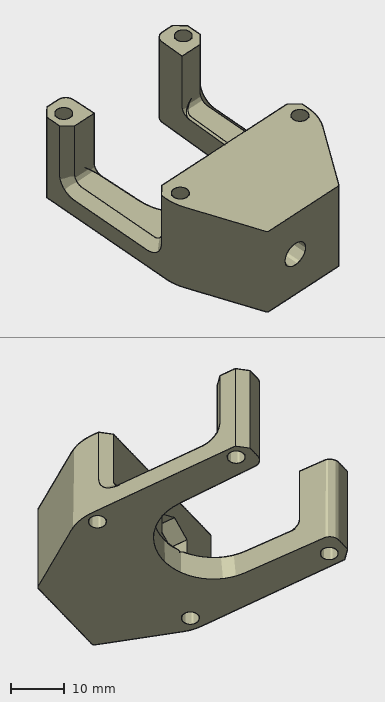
import cadquery as cq
import math

length = 53.5
height = 20.0
mid_height = height / 2
rear_y = 18.05
front_y = -18.45

screw_spacing = 31.0
screw_diameter = 3.3
first_screw_x = 3.5
opening_x = first_screw_x + screw_spacing / 2

opening_radius = 11.1
side_flare = math.radians(1.4)
side_start_x = opening_x + opening_radius * math.sin(side_flare)
side_start_y = opening_radius * math.cos(side_flare)
mouth_half_width = side_start_y + side_start_x * math.tan(side_flare)
rim_height = 5.55

post_face_x = 7.4
wall_x = 30.5
floor_z = 6.0
notch_radius = 2.0
edge_chamfer = 2.0
post_round = 2.0

nose_rear_y = 7.05
nose_front_y = -11.45
taper_rear_x = 37.2
taper_front_x = 35.85
taper_round = 10.15
nose_round = 0.55

bolt_y = -4.3
bolt_diameter = 5.3
nut_flats = 8.3
nut_start_x = 24.1
nut_depth = 7.5


def blank():
    """Prism with chamfered arm ends and a rounded, tapering nose."""
    points = [
        (0, front_y + edge_chamfer),
        (edge_chamfer, front_y),
        (taper_front_x, front_y),
        (length, nose_front_y),
        (length, nose_rear_y),
        (taper_rear_x, rear_y),
        (edge_chamfer, rear_y),
        (0, rear_y - edge_chamfer),
    ]
    prism = cq.Workplane("XY").polyline(points).close().extrude(height)
    for x, y in ((taper_front_x, front_y), (taper_rear_x, rear_y)):
        corner = cq.selectors.NearestToPointSelector((x, y, mid_height))
        prism = prism.edges(corner).fillet(taper_round)
    return prism.edges("|Z and >X").fillet(nose_round)


def opening_profile(z):
    """U outline whose sides flare slightly towards the open end."""
    return (
        cq.Workplane("XY", origin=(0, 0, z))
        .moveTo(0, -mouth_half_width)
        .lineTo(side_start_x, -side_start_y)
        .threePointArc((opening_x + opening_radius, 0), (side_start_x, side_start_y))
        .lineTo(0, mouth_half_width)
        .close()
    )


def notch_profile(y, growth):
    """Round-bottomed notch outline, enlarged by growth and open above the part."""
    left = post_face_x - growth
    right = wall_x + growth
    bottom = floor_z - growth
    top = 2 * height
    return (
        cq.Workplane("XZ", origin=(0, y, 0))
        .center((left + right) / 2, (bottom + top) / 2)
        .sketch()
        .rect(right - left, top - bottom)
        .vertices()
        .fillet(notch_radius + growth)
        .finalize()
    )


def notch():
    """Notch right across the part, with 45 degree chamfers at both outer faces."""
    tool = notch_profile(rear_y, 0).extrude(rear_y - front_y)
    rear_chamfer = notch_profile(rear_y, edge_chamfer).extrude(edge_chamfer, taper=45)
    front_chamfer = notch_profile(front_y, edge_chamfer).extrude(-edge_chamfer, taper=45)
    return tool.union(rear_chamfer).union(front_chamfer)


def rim_chamfer():
    """45 degree flare above the opening rim, from the rounded post feet to the wall."""
    flare = opening_profile(rim_height).extrude(floor_z + notch_radius - rim_height, taper=-45)
    limits = (
        cq.Workplane("XY", origin=(post_face_x, 0, rim_height))
        .box(wall_x - post_face_x, rear_y - front_y, height, centered=(False, True, False))
        .edges("|Y and <X and <Z")
        .fillet(notch_radius)
    )
    return flare.intersect(limits)


def screw_holes():
    return (
        cq.Workplane("XY", origin=(opening_x, 0, 0))
        .rect(screw_spacing, screw_spacing, forConstruction=True)
        .vertices()
        .circle(screw_diameter / 2)
        .extrude(height)
    )


def bolt_hole():
    """Bolt bore through the nose and a nut pocket sunk in the wall."""
    nut_corners = nut_flats / math.cos(math.pi / 6)
    plane = cq.Workplane("YZ", origin=(nut_start_x, bolt_y, mid_height))
    bore = plane.circle(bolt_diameter / 2).extrude(length - nut_start_x)
    nut = (
        plane.transformed(rotate=(0, 0, 90))
        .polygon(6, nut_corners)
        .extrude(wall_x + nut_depth - nut_start_x)
    )
    return bore.union(nut)


body = blank().cut(opening_profile(0).extrude(height))
for side in (-1, 1):
    arm_corner = (0, side * mouth_half_width, mid_height)
    body = body.edges(cq.selectors.NearestToPointSelector(arm_corner)).fillet(post_round)

result = body.cut(notch()).cut(rim_chamfer()).cut(screw_holes()).cut(bolt_hole())